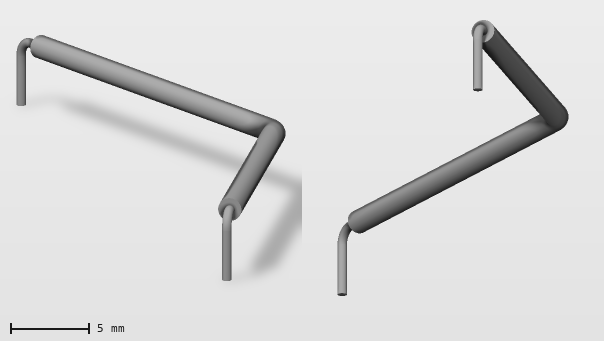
import cadquery as cq
import math

wire_diameter = 0.6
sleeve_diameter = 1.5

route_bend_radius = 1.5
route_bend_angle = 45.0
span_x = 41.56
span_y = 14.2

leg_depth = 4.3
leg_bend_radius = 1.0
bare_length_start = 2.0
bare_length_end = 1.25

angle = math.radians(route_bend_angle)
direction_x = math.cos(angle)
direction_y = -math.sin(angle)
bend_centre_y = -route_bend_radius
corner_x = span_x - span_y / math.tan(angle)
run_start_length = corner_x - route_bend_radius * math.tan(angle / 2)


def on_route_bend(turn):
    """Point on the route bend after turning by the given angle."""
    x = run_start_length + route_bend_radius * math.sin(turn)
    y = bend_centre_y + route_bend_radius * math.cos(turn)
    return (x, y, 0)


bend_start = on_route_bend(0)
bend_middle = on_route_bend(angle / 2)
bend_end = on_route_bend(angle)
run_end_length = (span_y + bend_end[1]) / math.sin(angle)


def on_end_run(distance, z=0):
    """Point at a distance past the route bend, measured along the second run."""
    return (bend_end[0] + direction_x * distance, bend_end[1] + direction_y * distance, z)


def on_start_run(distance, z=0):
    """Point at a distance from the first leg axis, measured along the first run."""
    return (distance, 0, z)


def make_sleeve():
    """Solid insulated section along both runs and the route bend."""
    path = (
        cq.Workplane("XY")
        .moveTo(bare_length_start, 0)
        .lineTo(*bend_start[:2])
        .threePointArc(bend_middle[:2], bend_end[:2])
        .lineTo(*on_end_run(run_end_length - bare_length_end)[:2])
    )
    section = cq.Workplane("YZ", origin=(bare_length_start, 0, 0)).circle(sleeve_diameter / 2)
    return section.sweep(path)


def make_leg(on_run, leg_position, inward, sleeve_position):
    """Bare wire from a leg tip, round the bend and along to the insulation.

    inward is +1 or -1: the way along the run from the leg axis to the insulation.
    """
    arc_offset = leg_bend_radius * (1 - math.sqrt(0.5))
    tip = on_run(leg_position, -leg_depth)
    arc_start = on_run(leg_position, -leg_bend_radius)
    arc_middle = on_run(leg_position + inward * arc_offset, -arc_offset)
    arc_end = on_run(leg_position + inward * leg_bend_radius)
    wire_end = on_run(sleeve_position)

    path = cq.Wire.assembleEdges([
        cq.Edge.makeLine(cq.Vector(*tip), cq.Vector(*arc_start)),
        cq.Edge.makeThreePointArc(cq.Vector(*arc_start), cq.Vector(*arc_middle), cq.Vector(*arc_end)),
        cq.Edge.makeLine(cq.Vector(*arc_end), cq.Vector(*wire_end)),
    ])
    section = cq.Workplane("XY", origin=tip).circle(wire_diameter / 2)
    return section.sweep(path)


start_leg = make_leg(on_start_run, 0, 1, bare_length_start)
end_leg = make_leg(on_end_run, run_end_length, -1, run_end_length - bare_length_end)
result = make_sleeve().union(start_leg).union(end_leg)